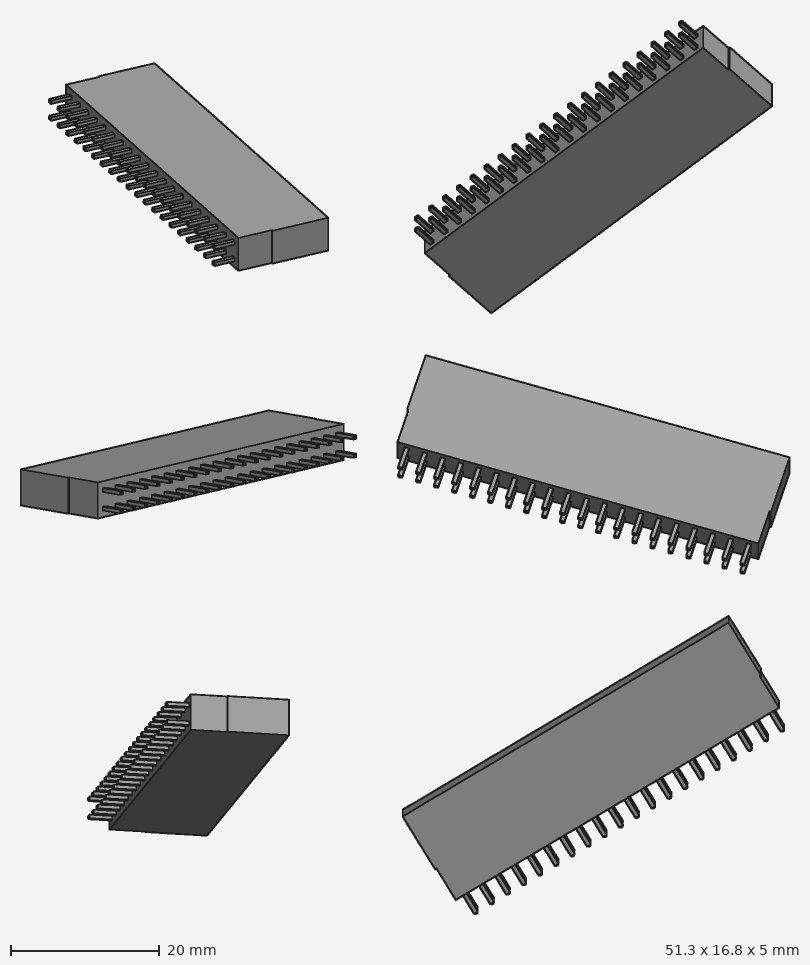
import cadquery as cq

length = 51.3
height = 5.0
housing_depth = 13.5
rear_depth = 8.45
side_step = 0.2

columns = 20
rows = 2
pin_row_span = 48.2
pitch = pin_row_span / (columns - 1)
pin_width = 0.6
pin_height = 0.5
pin_length = 3.25
tip_chamfer = 0.18

overall_depth = housing_depth + pin_length
rear_y = overall_depth / 2
pin_face_y = rear_y - housing_depth
step_y = rear_y - rear_depth


def block(width, tall, front_y, back_y):
    """Box centred on X and Z, spanning front_y to back_y."""
    depth = back_y - front_y
    return cq.Workplane("XY").box(width, depth, tall).translate((0, front_y + depth / 2, 0))


def make_housing():
    """Wide rear portion with a slightly shorter front portion."""
    rear = block(length, height, step_y, rear_y)
    front = block(length - 2 * side_step, height, pin_face_y, step_y)
    return rear.union(front)


def make_pin():
    """Rectangular pin with its tip chamfered on all four edges."""
    pin = block(pin_width, pin_height, pin_face_y - pin_length, pin_face_y)
    return pin.faces("<Y").chamfer(tip_chamfer)


def add_pins(housing):
    """Grid of pins centred on the pin face."""
    pin = make_pin()
    for column in range(columns):
        x = (column - (columns - 1) / 2) * pitch
        for row in range(rows):
            z = (row - (rows - 1) / 2) * pitch
            housing = housing.union(pin.translate((x, 0, z)))
    return housing


result = add_pins(make_housing())